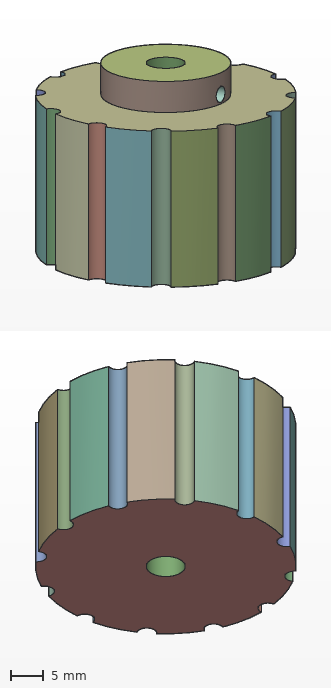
import cadquery as cq
import math

overall_width = 39.9
groove_radius = 1.5
groove_count = 12
body_height = 25.0
boss_height = 5.0
boss_diameter = 20.0
bore_diameter = 6.0
screw_hole_diameter = 2.5
screw_hole_rise = 1.5

half_width = overall_width / 2
body_radius = (half_width + math.sqrt(half_width**2 + 2 * groove_radius**2)) / 2
overall_height = body_height + boss_height


def make_body():
    """Grooved drum standing on the XY plane."""
    drum = cq.Workplane("XY").circle(body_radius).extrude(body_height)
    grooves = (
        cq.Workplane("XY")
        .polarArray(body_radius, 0, 360, groove_count)
        .circle(groove_radius)
        .extrude(body_height)
    )
    return drum.cut(grooves)


def make_boss():
    """Round hub on top of the drum."""
    return (
        cq.Workplane("XY", origin=(0, 0, body_height))
        .circle(boss_diameter / 2)
        .extrude(boss_height)
    )


def make_bore():
    """Axial hole through the drum and hub."""
    return cq.Workplane("XY").circle(bore_diameter / 2).extrude(overall_height)


def make_screw_hole():
    """Radial hole from the bore out through the +X side of the hub."""
    return (
        cq.Workplane("YZ", origin=(0, 0, body_height + screw_hole_rise))
        .circle(screw_hole_diameter / 2)
        .extrude(boss_diameter / 2)
    )


result = make_body().union(make_boss()).cut(make_bore()).cut(make_screw_hole())